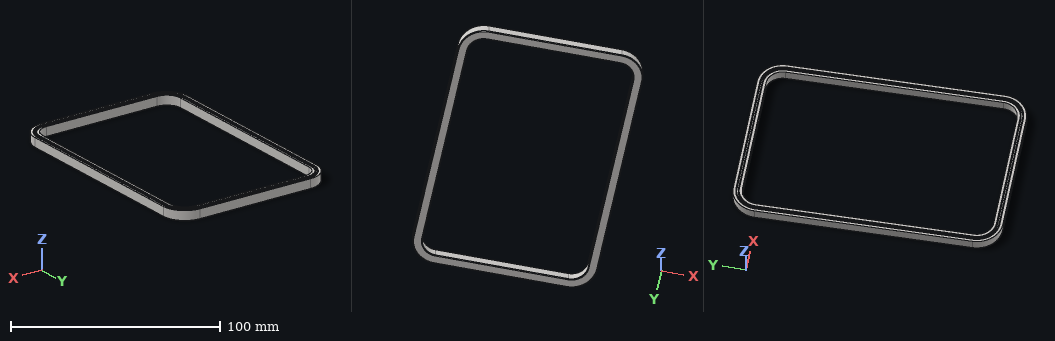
import cadquery as cq

LENGTH = 131.0
WIDTH = 90.0
HEIGHT = 5.5
BAND = 4.6
CORNER_RADIUS = 12.6
BOTTOM_CHAMFER = 0.4

UPPER_GROOVE_WIDTH = 1.6
UPPER_GROOVE_DEPTH = 0.3
LOWER_GROOVE_WIDTH = 0.8
LOWER_GROOVE_DEPTH = 1.0


def rounded_plate(inset, height):
    """Rounded rectangle plate set in from the outer outline, resting on the base plane."""
    return (
        cq.Workplane("XY")
        .rect(WIDTH - 2 * inset, LENGTH - 2 * inset)
        .extrude(height)
        .edges("|Z")
        .fillet(CORNER_RADIUS - inset)
    )


def ring(width, height):
    """Rounded rectangular ring of the given width, running along the middle of the band."""
    inset = (BAND - width) / 2
    return rounded_plate(inset, height).cut(rounded_plate(inset + width, height))


def groove(width, depth):
    """Ring cutter reaching down from the top face."""
    return ring(width, depth).translate((0, 0, HEIGHT - depth))


frame = ring(BAND, HEIGHT).faces("<Z").chamfer(BOTTOM_CHAMFER)
frame = frame.cut(groove(UPPER_GROOVE_WIDTH, UPPER_GROOVE_DEPTH))
result = frame.cut(groove(LOWER_GROOVE_WIDTH, LOWER_GROOVE_DEPTH))